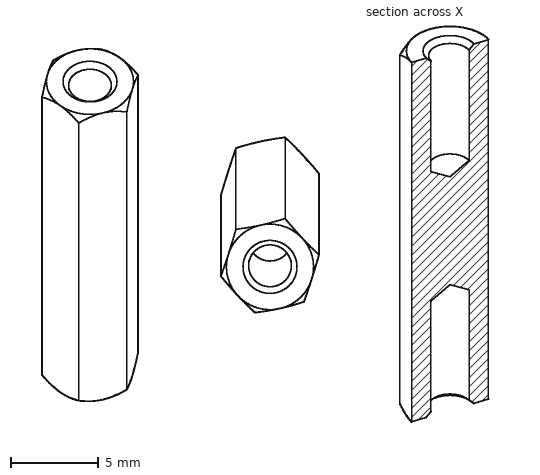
import cadquery as cq
import math

length = 25.0
across_flats = 5.0
across_corners = across_flats / math.cos(math.radians(30))

chamfer_angle = 45.0
face_radius = across_flats / 2
corner_radius = across_corners / 2
chamfer_height = (corner_radius - face_radius) * math.tan(math.radians(chamfer_angle))

hole_radius = 2.45 / 2
mouth_radius = 3.1 / 2
hole_depth = 8.0
drill_point_angle = 118.0
mouth_depth = mouth_radius - hole_radius
point_depth = hole_radius / math.tan(math.radians(drill_point_angle / 2))


def chamfered_envelope():
    """Round bar with conical ends that trims the corners of the hexagon."""
    half_length = length / 2
    shoulder = half_length - chamfer_height
    return (
        cq.Workplane("XZ")
        .moveTo(0, -half_length)
        .lineTo(face_radius, -half_length)
        .lineTo(corner_radius, -shoulder)
        .lineTo(corner_radius, shoulder)
        .lineTo(face_radius, half_length)
        .lineTo(0, half_length)
        .close()
        .revolve(360, (0, 0, 0), (0, 1, 0))
    )


def top_hole():
    """Cutter for the blind hole in the top end."""
    top = length / 2
    hole_bottom = top - hole_depth
    return (
        cq.Workplane("XZ")
        .moveTo(0, top)
        .lineTo(mouth_radius, top)
        .lineTo(hole_radius, top - mouth_depth)
        .lineTo(hole_radius, hole_bottom)
        .lineTo(0, hole_bottom - point_depth)
        .close()
        .revolve(360, (0, 0, 0), (0, 1, 0))
    )


hexagon = (
    cq.Workplane("XY")
    .polygon(6, across_corners)
    .extrude(length / 2, both=True)
)
hole = top_hole()
result = (
    hexagon.intersect(chamfered_envelope())
    .cut(hole)
    .cut(hole.mirror("XY"))
)